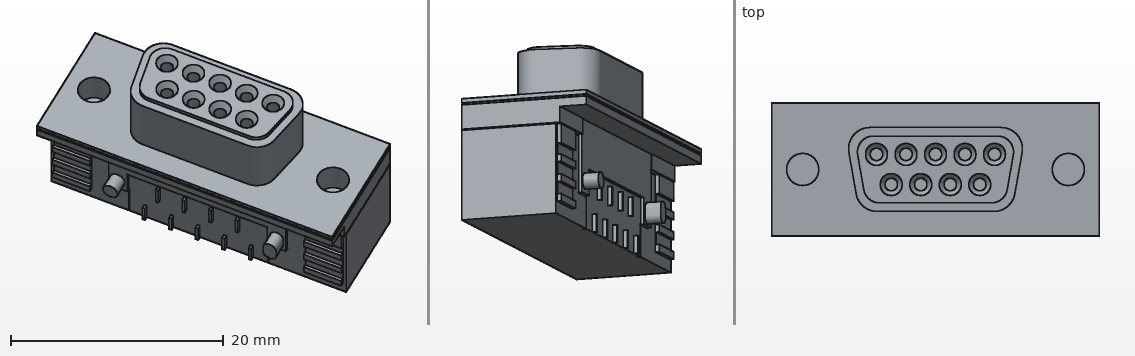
import cadquery as cq
import math

LENGTH = 30.8
DEPTH = 12.5
BACK_Y = DEPTH / 2
FLANGE_FRONT_Y = -DEPTH / 2

BRACKET_TOP_Z = 8.6
HOUSING_BOTTOM_Z = 8.7
FLANGE_BOTTOM_Z = 10.2
FLANGE_TOP_Z = 11.03
PLATE_BOTTOM_Z = 11.2
PLATE_TOP_Z = 11.6
SHELL_TOP_Z = 17.35
INSERT_TOP_Z = 17.75
SEAM_INSET = 0.12

BRACKET_FRONT_Y = -3.2
GRIP_PAD_FRONT_Y = -3.3
TONGUE_FRONT_Y = -3.5
HOUSING_FRONT_Y = -3.6
PEG_END_Y = -5.08

TONGUE_WIDTH = 18.48
TONGUE_BOTTOM_Z = 3.15
WINDOW_WIDTH = 14.6
WINDOW_TOP_Z = 5.67
CLEARANCE = 0.1
CLEARANCE_DEPTH = 0.3

GRIP_CENTER_X = 13.12
GRIP_WIDTH = 3.9
GRIP_BOTTOM_Z = 1.2
RIB_PITCH = 1.895
RIB_HEIGHT = 0.7
LOWER_RIB_COUNT = 3
TOP_RIB_BOTTOM_Z = 6.78

PEG_CENTER_X = 8.32
PEG_CENTER_Z = 4.35
ROUND_PEG_DIAMETER = 1.55
SLOT_PEG_WIDTH = 1.35
SLOT_PEG_HEIGHT = 2.05

CONTACT_PITCH = 2.77
LONG_ROW_COUNT = 5
SHORT_ROW_COUNT = 4
TAIL_WIDTH = 0.28
LOWER_TAIL_TOP_Z = 1.7
UPPER_TAIL_BOTTOM_Z = 3.33
UPPER_TAIL_TOP_Z = 5.1
ROW_SPACING = 2.83
SOCKET_MOUTH_DIAMETER = 2.05
SOCKET_BORE_DIAMETER = 1.17
SOCKET_CONE_DEPTH = 0.65
SOCKET_BORE_DEPTH = 3.08

SIDE_ANGLE = 10.0
SHELL_MEAN_WIDTH = 15.7
SHELL_DEPTH = 7.9
SHELL_RADIUS = 2.0
INSERT_MEAN_WIDTH = 14.15
INSERT_DEPTH = 6.28
INSERT_RADIUS = 1.5

MOUNT_SPACING = 24.95
MOUNT_DIAMETER = 3.02


def block(width, front_y, back_y, bottom_z, top_z, center_x=0.0):
    """Box given by its width in X and its faces in Y and Z."""
    return (
        cq.Workplane("XY", origin=(center_x, (front_y + back_y) / 2, bottom_z))
        .rect(width, back_y - front_y)
        .extrude(top_z - bottom_z)
    )


def row_positions(count):
    return [(i - (count - 1) / 2) * CONTACT_PITCH for i in range(count)]


def d_prism(mean_width, depth, radius, bottom_z, top_z):
    """Rounded trapezoid, wider at the back."""
    flare = depth / 2 * math.tan(math.radians(SIDE_ANGLE))
    half_back = mean_width / 2 + flare
    half_front = mean_width / 2 - flare
    outline = [
        (-half_back, depth / 2),
        (half_back, depth / 2),
        (half_front, -depth / 2),
        (-half_front, -depth / 2),
    ]
    return (
        cq.Workplane("XY", origin=(0, 0, bottom_z))
        .polyline(outline)
        .close()
        .extrude(top_z - bottom_z)
        .edges("|Z")
        .fillet(radius)
    )


def stacked_body():
    """Bracket, housing and plate, with thin recessed seams between them."""
    seam_length = LENGTH - 2 * SEAM_INSET
    seam_back_y = BACK_Y - SEAM_INSET
    bracket = block(LENGTH, BRACKET_FRONT_Y, BACK_Y, 0, BRACKET_TOP_Z)
    bracket_seam = block(
        seam_length, BRACKET_FRONT_Y + SEAM_INSET, seam_back_y, BRACKET_TOP_Z, HOUSING_BOTTOM_Z
    )
    housing = block(LENGTH, HOUSING_FRONT_Y, BACK_Y, HOUSING_BOTTOM_Z, FLANGE_BOTTOM_Z)
    tongue_relief = block(
        TONGUE_WIDTH, HOUSING_FRONT_Y, TONGUE_FRONT_Y, HOUSING_BOTTOM_Z, FLANGE_BOTTOM_Z
    )
    flange = block(LENGTH, FLANGE_FRONT_Y, BACK_Y, FLANGE_BOTTOM_Z, FLANGE_TOP_Z)
    plate_seam = block(
        seam_length, FLANGE_FRONT_Y + SEAM_INSET, seam_back_y, FLANGE_TOP_Z, PLATE_BOTTOM_Z
    )
    plate = block(LENGTH, FLANGE_FRONT_Y, BACK_Y, PLATE_BOTTOM_Z, PLATE_TOP_Z)
    return (
        bracket.union(bracket_seam)
        .union(housing.cut(tongue_relief))
        .union(flange)
        .union(plate_seam)
        .union(plate)
    )


def tongue():
    """Housing tongue lying over the bracket, with a window open at the bottom."""
    plate = block(
        TONGUE_WIDTH,
        TONGUE_FRONT_Y,
        BRACKET_FRONT_Y + CLEARANCE_DEPTH,
        TONGUE_BOTTOM_Z,
        FLANGE_BOTTOM_Z,
    )
    window = block(WINDOW_WIDTH, TONGUE_FRONT_Y, BRACKET_FRONT_Y, TONGUE_BOTTOM_Z, WINDOW_TOP_Z)
    return plate.cut(window)


def clearance_grooves():
    """Narrow grooves below each tongue leg and beside the contact field."""
    half_window = WINDOW_WIDTH / 2
    inner_x = half_window - CLEARANCE
    leg_end_x = TONGUE_WIDTH / 2
    back_y = BRACKET_FRONT_Y + CLEARANCE_DEPTH
    grooves = cq.Workplane("XY")
    for side in (-1, 1):
        below_leg = block(
            leg_end_x - inner_x,
            BRACKET_FRONT_Y,
            back_y,
            TONGUE_BOTTOM_Z - CLEARANCE,
            TONGUE_BOTTOM_Z,
            side * (leg_end_x + inner_x) / 2,
        )
        beside_field = block(
            CLEARANCE, BRACKET_FRONT_Y, back_y, 0, TONGUE_BOTTOM_Z, side * (half_window + inner_x) / 2
        )
        grooves = grooves.add(below_leg.union(beside_field))
    return grooves.combine()


def grip(center_x):
    """Shallow pad carrying horizontal ribs."""
    ribs = [
        (GRIP_BOTTOM_Z + i * RIB_PITCH, GRIP_BOTTOM_Z + i * RIB_PITCH + RIB_HEIGHT)
        for i in range(LOWER_RIB_COUNT)
    ]
    ribs.append((TOP_RIB_BOTTOM_Z, BRACKET_TOP_Z))
    body = block(
        GRIP_WIDTH, GRIP_PAD_FRONT_Y, BRACKET_FRONT_Y, GRIP_BOTTOM_Z, BRACKET_TOP_Z, center_x
    )
    for bottom_z, top_z in ribs:
        body = body.union(
            block(GRIP_WIDTH, HOUSING_FRONT_Y, BRACKET_FRONT_Y, bottom_z, top_z, center_x)
        )
    return body


def pegs():
    """Round peg on the left leg and slot-shaped peg on the right leg."""
    length = TONGUE_FRONT_Y - PEG_END_Y
    left_face = cq.Workplane("XZ", origin=(-PEG_CENTER_X, TONGUE_FRONT_Y, PEG_CENTER_Z))
    right_face = cq.Workplane("XZ", origin=(PEG_CENTER_X, TONGUE_FRONT_Y, PEG_CENTER_Z))
    round_peg = left_face.circle(ROUND_PEG_DIAMETER / 2).extrude(length)
    slot_peg = right_face.slot2D(SLOT_PEG_HEIGHT, SLOT_PEG_WIDTH, 90).extrude(length)
    return round_peg.union(slot_peg)


def tail_row(count, bottom_z, top_z):
    """Row of flat contact tails standing out of the contact field."""
    tails = cq.Workplane("XY")
    for x in row_positions(count):
        tails = tails.add(block(TAIL_WIDTH, HOUSING_FRONT_Y, BRACKET_FRONT_Y, bottom_z, top_z, x))
    return tails.combine()


def socket_cutters():
    """Conical lead-ins, each followed by a blind bore."""
    mouth_radius = SOCKET_MOUTH_DIAMETER / 2
    bore_radius = SOCKET_BORE_DIAMETER / 2
    back_row = [(x, ROW_SPACING / 2) for x in row_positions(LONG_ROW_COUNT)]
    front_row = [(x, -ROW_SPACING / 2) for x in row_positions(SHORT_ROW_COUNT)]
    profile = [
        (0, 0),
        (mouth_radius, 0),
        (bore_radius, -SOCKET_CONE_DEPTH),
        (bore_radius, -SOCKET_BORE_DEPTH),
        (0, -SOCKET_BORE_DEPTH),
    ]
    socket = cq.Workplane("XZ").polyline(profile).close().revolve(360, (0, 0), (0, 1))
    cutters = cq.Workplane("XY")
    for x, y in back_row + front_row:
        cutters = cutters.add(socket.translate((x, y, INSERT_TOP_Z)))
    return cutters.combine()


def mounting_holes():
    """Holes through plate and housing, ending on the bracket."""
    return (
        cq.Workplane("XY", origin=(0, 0, BRACKET_TOP_Z))
        .pushPoints([(-MOUNT_SPACING / 2, 0), (MOUNT_SPACING / 2, 0)])
        .circle(MOUNT_DIAMETER / 2)
        .extrude(PLATE_TOP_Z - BRACKET_TOP_Z)
    )


shell = d_prism(SHELL_MEAN_WIDTH, SHELL_DEPTH, SHELL_RADIUS, PLATE_TOP_Z, SHELL_TOP_Z)
insert = d_prism(INSERT_MEAN_WIDTH, INSERT_DEPTH, INSERT_RADIUS, SHELL_TOP_Z, INSERT_TOP_Z)

result = (
    stacked_body()
    .union(tongue())
    .cut(clearance_grooves())
    .union(grip(-GRIP_CENTER_X))
    .union(grip(GRIP_CENTER_X))
    .union(pegs())
    .union(tail_row(LONG_ROW_COUNT, 0, LOWER_TAIL_TOP_Z))
    .union(tail_row(SHORT_ROW_COUNT, UPPER_TAIL_BOTTOM_Z, UPPER_TAIL_TOP_Z))
    .union(shell)
    .union(insert)
    .cut(socket_cutters())
    .cut(mounting_holes())
)